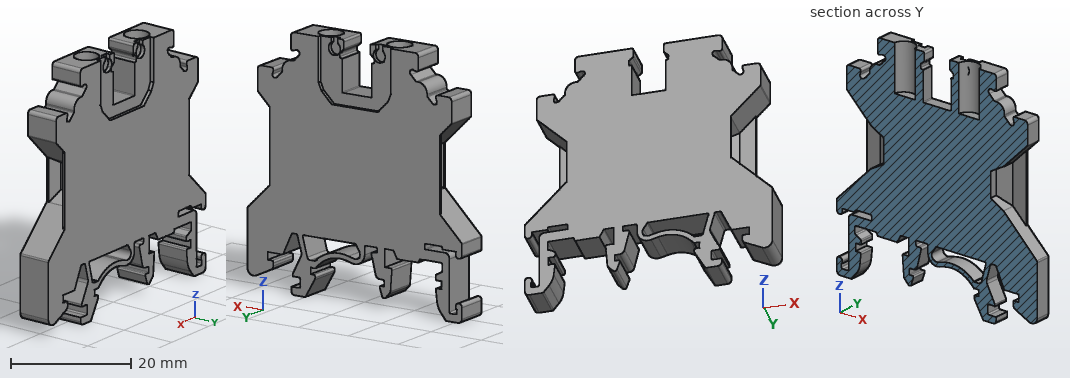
import cadquery as cq
import math


width = 43.0
thickness = 5.95
height = 45.3
half_width = width / 2

tower_x = 12.77
shoulder_x = 19.45
shoulder_top = height - (shoulder_x - tower_x)
shoulder_bottom = 34.15
waist_x = 14.22
waist_top = shoulder_bottom - (shoulder_x - waist_x)
waist_bottom = 21.05
hip_z = waist_bottom - (half_width - waist_x)
slot_x = 2.95
slot_floor = 36.1

underside = 10.65
hook_step = 6.7
notch_floor = 5.35
lip_inner_x = 20.25
web_slope = 0.25
web_end_slope = -1

plate_x = 17.05
plate_y = 5.5
pocket_front = 0.45
pocket_depth = 2.7
pocket_taper_z = 1.55
pocket_taper_front = 0.4
pocket_taper_back = 1.1

screw_diameter = 4.3
screw_x = 6.9
screw_y = 2.67
screw_depth = height - slot_floor

recess_y = 5.25
recess_x = 7.25
recess_floor = 33.98
recess_floor_x = 4.58
recess_slope_x = 6.65
recess_slope_top = recess_floor + (recess_slope_x - recess_floor_x)
recess_side_height = 1.35
recess_side_top = recess_slope_top + recess_side_height

key_x = 4.5
key_z = 43.5
key_radius = 1.2
key_slot_width = 1.3
key_y = 4.5


def rounded_outline(corners):
    """Closed wire in the XZ plane from (x, z, radius) corners; radius 0 keeps the corner sharp."""
    bends = []
    count = len(corners)
    for i, (x, z, radius) in enumerate(corners):
        corner = cq.Vector(x, z)
        before = (cq.Vector(*corners[i - 1][:2]) - corner).normalized()
        after = (cq.Vector(*corners[(i + 1) % count][:2]) - corner).normalized()
        half_angle = before.getAngle(after) / 2
        tangent = radius / math.tan(half_angle)
        bisector = (before + after).normalized()
        to_arc = radius / math.sin(half_angle) - radius
        start = corner + before * tangent
        middle = corner + bisector * to_arc
        end = corner + after * tangent
        bends.append((radius, start, middle, end))

    outline = cq.Workplane("XZ").moveTo(*bends[0][3].toTuple()[:2])
    for radius, start, middle, end in bends[1:] + bends[:1]:
        outline = outline.lineTo(*start.toTuple()[:2])
        if radius:
            outline = outline.threePointArc(middle.toTuple()[:2], end.toTuple()[:2])
    return outline.close()


def slab(corners, y_front, y_back):
    """Prism over an XZ outline between two Y positions."""
    return rounded_outline(corners).extrude(y_front - y_back).translate((0, y_front, 0))


def mirror_x(corners):
    """Corners mirrored about X = 0, in reverse order."""
    return [(-x, z, radius) for x, z, radius in reversed(corners)]


def upper_left():
    """From the slot floor over the left tower and shoulder to the waist."""
    slot_side = [
        (-slot_x, slot_floor, 0.15),
        (-slot_x, 41.95, 0),
        (-3.45, 42.1, 0.25),
        (-3.45, 42.9, 0.25),
        (-2.65, 43.6, 0.45),
        (-2.65, height, 0.35),
    ]
    tower_lip = [
        (-tower_x, height, 0.7),
        (-tower_x, 42.0, 0.4),
        (-9.85, 42.85, 0.5),
        (-12.3, 40.35, 0.23),
    ]
    bump = [(-14.55, 40.4, 1.8)]
    diagonal = shoulder_top - tower_x
    shoulder_lip = [(diagonal - z, diagonal - x, radius) for x, z, radius in reversed(tower_lip)]
    waist = [
        (-shoulder_x, shoulder_bottom, 0.23),
        (-waist_x, waist_top, 0),
        (-waist_x, waist_bottom, 0),
    ]
    return slot_side + tower_lip + bump + shoulder_lip + waist


def left_foot():
    """From the left hip around the slit and the long left foot to the underside."""
    lip = [
        (-half_width, hip_z, 0.2),
        (-half_width, 11.1, 0.6),
        (-lip_inner_x, 11.1, 0.6),
        (-lip_inner_x, 12.25, 0),
    ]
    slit = [
        (-17.55, 12.25, 0),
        (-17.55, 12.75, 0.25),
        (-14.05, 12.75, 0.25),
        (-14.05, 11.75, 0.1),
        (-19.0, 11.75, 0.9),
    ]
    toe = [
        (-19.0, 1.4, 0.3),
        (-20.45, 1.4, 0.3),
        (-20.45, 2.25, 0),
        (-lip_inner_x, 2.35, 0),
        (-lip_inner_x, 3.4, 0.6),
        (-half_width, 3.4, 0.6),
        (-half_width, 0, 0.8),
        (-18.3, 0, 0.35),
    ]
    heel = [
        (-16.6, 2.1, 3.62),
        (-16.2, notch_floor, 0.23),
        (-17.4, notch_floor, 0),
        (-17.4, hook_step, 0),
        (-16.2, hook_step, 0.25),
        (-16.2, 7.65, 0.25),
        (-17.55, 8.4, 0.3),
        (-17.55, 9.88, 0.25),
    ]
    pad = [
        (-13.05, 9.88, 0),
        (-12.75, 9.25, 0),
        (-8.5, 9.25, 0),
        (-7.75, underside, 0.15),
    ]
    return lip + slit + toe + heel + pad


def middle_foot():
    """Short latch foot left of the spring web."""
    return [
        (-6.05, underside, 0),
        (-6.05, 7.47, 0),
        (-7.47, 7.47, 0.25),
        (-7.15, 3.25, 0.7),
        (-5.7, 1.7, 0.4),
        (-4.9, 4.1, 0.23),
        (-5.9, 4.1, 0.15),
        (-5.9, 5.25, 0.23),
        (-4.35, 5.25, 0.9),
        (-3.25, 9.7, 0.3),
        (-4.5, 9.7, 0.3),
        (-4.5, underside, 0.2),
    ]


def web_apex(bend_z, end_x, end_z):
    """Point where the two straight ends of the spring web would meet; bend_z is its height at X = 0."""
    x = (end_z - web_end_slope * end_x - bend_z) / (web_slope - web_end_slope)
    return x, bend_z + web_slope * x


def right_foot():
    """Lower side of the spring web, the right foot and the right hook up to the hip."""
    bend_x = -2.0
    bend_z = 7.05
    end = (7.9, 5.25)
    web = [
        (bend_x, underside, 0.3),
        (bend_x, bend_z + bend_x * web_slope, 1.95),
        (*web_apex(bend_z, *end), 5.9),
        (*end, 0),
    ]
    foot = [
        (8.85, 5.25, 0),
        (8.85, 4.1, 0),
        (7.8, 4.1, 0.35),
        (7.97, 3.35, 0.1),
        (9.88, 0, 0.2),
        (12.7, 0, 0.7),
        (12.7, 1.4, 0),
        (10.9, 1.4, 0.25),
        (10.9, 3.2, 0.25),
        (12.4, 3.2, 0),
        (12.4, 3.65, 0.1),
        (10.6, 7.25, 0.9),
        (11.5, underside, 0.3),
    ]
    hook = [
        (12.55, underside, 0.3),
        (14.35, hook_step, 0.2),
        (17.45, hook_step, 0),
        (17.45, notch_floor, 0),
        (16.25, notch_floor, 0.3),
        (16.25, 4.05, 0.8),
        (half_width, 1.4, 1.25),
        (half_width, hip_z, 0.45),
    ]
    return web + foot + hook


def body():
    """Solid body with both hooks and all feet."""
    upper = upper_left()
    outline = upper + left_foot() + middle_foot() + right_foot() + mirror_x(upper)
    return slab(outline, 0, thickness)


def web_window():
    """Opening between the spring web and the underside of the body."""
    bend_x = -2.2
    bend_z = 8.0
    end = (7.97, 6.52)
    corners = [
        (-0.2, underside, 0.23),
        (bend_x, bend_z + bend_x * web_slope, 0.95),
        (*web_apex(bend_z, *end), 7.0),
        (*end, 0.15),
        (9.38, 6.52, 0.65),
        (10.45, underside, 0.23),
    ]
    return slab(corners, 0, thickness)


def back_plate():
    """Thin plate at the back that fills part of both waist notches."""
    inset = shoulder_x - plate_x
    top = shoulder_bottom - inset
    bottom = hip_z + (half_width - plate_x)
    corners = [(-plate_x, bottom, 0), (plate_x, bottom, 0), (plate_x, top, 0), (-plate_x, top, 0)]
    return slab(corners, plate_y, thickness)


def pocket_section(x, front, back, bottom, top):
    """Rectangular wire across the pocket at one X position."""
    corners = [(x, front, bottom), (x, back, bottom), (x, back, top), (x, front, top)]
    return cq.Wire.makePolygon([cq.Vector(*corner) for corner in corners], close=True)


def waist_pocket():
    """Tapered pocket going into the left side of the waist."""
    mouth = pocket_section(-waist_x, pocket_front, plate_y, waist_bottom, waist_top)
    end = pocket_section(
        -waist_x + pocket_depth,
        pocket_front + pocket_taper_front,
        plate_y - pocket_taper_back,
        waist_bottom + pocket_taper_z,
        waist_top - pocket_taper_z,
    )
    return cq.Workplane(cq.Solid.makeLoft([mouth, end], True))


def screw_holes():
    """Vertical blind holes for the two clamping screws."""
    return (
        cq.Workplane("XY", origin=(0, 0, height - screw_depth))
        .pushPoints([(-screw_x, screw_y), (screw_x, screw_y)])
        .circle(screw_diameter / 2)
        .extrude(screw_depth)
    )


def back_recess():
    """Shallow recess for the marker strip, with a sloped floor at both ends."""
    left = [
        (-recess_x, height, 0),
        (-recess_x, recess_side_top, 0),
        (-recess_slope_x, recess_slope_top, 0),
        (-recess_floor_x, recess_floor, 0.45),
    ]
    return slab(left + mirror_x(left), recess_y, thickness)


def keyhole(x):
    """Round pocket with a narrower slot rising to the top of the tower."""
    half_slot = key_slot_width / 2
    left = x - half_slot
    right = x + half_slot
    corners = [(left, key_z, 0), (right, key_z, 0), (right, height, 0), (left, height, 0)]
    slot = slab(corners, key_y, thickness)
    pocket = cq.Workplane("XZ", origin=(x, key_y, key_z)).circle(key_radius).extrude(key_y - thickness)
    return slot.union(pocket)


result = body().cut(web_window()).union(back_plate())
for pocket in (waist_pocket(), waist_pocket().mirror("YZ")):
    result = result.cut(pocket)
result = result.cut(screw_holes()).cut(back_recess())
for side in (-1, 1):
    result = result.cut(keyhole(side * key_x))